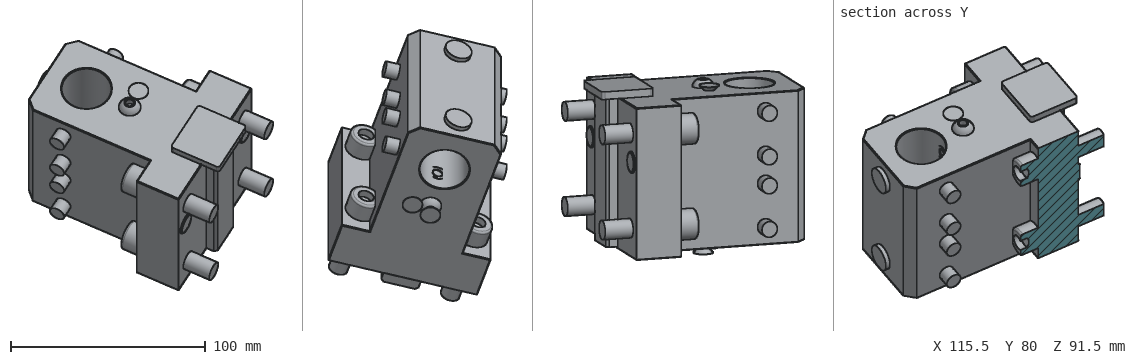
import cadquery as cq


HEIGHT = 80.0
LENGTH = 98.0
BODY_WIDTH = 50.1
FLANGE_WIDTH = 80.0
FLANGE_THICKNESS = 24.6
NOSE_CHAMFER = 5.1
EDGE_CHAMFER = 0.5
FLANGE_CORNER_CHAMFER = 0.3
MID_HEIGHT = HEIGHT / 2
FLANGE_X = LENGTH - FLANGE_THICKNESS

BORE_X = 23.0
BORE_DIAMETER = 25.4
SIDE_PIN_DIAMETER = 8.3
SIDE_PIN_PROJECTION = 7.2
SIDE_PIN_OFFSETS = (7.6, 30.5)
NOSE_DISC_DIAMETER = 14.0
NOSE_DISC_PROJECTION = 2.4
NOSE_DISC_OFFSET = 28.0
WALL_SCREW_DIAMETER = 9.2
WALL_SCREW_PROTRUSION = 0.2
WALL_SOCKET_DIAMETER = 5.3
WALL_SOCKET_DEPTH = 0.6
WALL_SOCKET_TIP_DEPTH = 1.2

BOLT_Y = 30.0
BOLT_OFFSET = 25.1
BOLT_HEAD_DIAMETER = 16.0
BOLT_HEAD_HEIGHT = 10.4
BOLT_HEAD_FILLET = 1.2
BOLT_SHANK_DIAMETER = 10.0
BOLT_PROJECTION = 15.1
SOCKET_DIAMETER = 8.1
SOCKET_DEPTH = 4.0
SOCKET_TIP_DEPTH = 2.3

SEAL_Y = 32.6
SEAL_Z = 50.1
SEAL_DIAMETER = 11.3
SEAL_PROJECTION = 0.8
SEAL_CHAMFER = 0.6

KEY_WIDTH = 20.0
KEY_PROJECTION = 6.0
KEY_HEIGHT = 78.0
KEY_CHAMFER = 1.5

PLATE_X = 80.0
PLATE_LENGTH = 28.1
PLATE_WIDTH = 30.0
PLATE_THICKNESS = 4.0
PLATE_CORNER_RADIUS = 1.5

NOZZLE_X = 48.2
BALL_RADIUS = 5.9
BALL_SINK = 1.5
BALL_PROJECTION = 3.7
NOZZLE_HOLE_DIAMETER = 4.2
NOZZLE_HOLE_DEPTH = 4.6
NECK_DIAMETER = 5.4
NECK_END = 5.0
PLUG_Y = 9.6
FLARE_DIAMETER = 10.3
FLARE_HEIGHT = 2.5
FLARE_RIM = 0.2


def rod_x(diameter, start_x, end_x, y, z):
    """Cylinder along X."""
    return cq.Workplane("YZ", origin=(start_x, y, z)).circle(diameter / 2).extrude(end_x - start_x)


def flare(root_z, y, direction):
    """Cone widening away from root_z, ending in a thin rim; direction is +1 for up, -1 for down."""
    rim_z = root_z + direction * (FLARE_HEIGHT - FLARE_RIM)
    end_z = root_z + direction * FLARE_HEIGHT
    return (
        cq.Workplane("XZ")
        .moveTo(0, root_z)
        .lineTo(NECK_DIAMETER / 2, root_z)
        .lineTo(FLARE_DIAMETER / 2, rim_z)
        .lineTo(FLARE_DIAMETER / 2, end_z)
        .lineTo(0, end_z)
        .close()
        .revolve(360, (0, 0, 0), (0, 1, 0))
        .translate((NOZZLE_X, y, 0))
    )


def block():
    """T-shaped block with chamfered nose corners, chamfered edges and the through bore."""
    body = (
        cq.Workplane("XY")
        .box(LENGTH, BODY_WIDTH, HEIGHT, centered=(False, True, False))
        .edges("|Z and <X")
        .chamfer(NOSE_CHAMFER)
    )
    flange = (
        cq.Workplane("XY", origin=(FLANGE_X, 0, 0))
        .box(FLANGE_THICKNESS, FLANGE_WIDTH, HEIGHT, centered=(False, True, False))
        .edges("|Z")
        .chamfer(FLANGE_CORNER_CHAMFER)
    )
    bore = cq.Workplane("XY", origin=(BORE_X, 0, 0)).circle(BORE_DIAMETER / 2).extrude(HEIGHT)
    return body.union(flange).cut(bore).faces("<Z or >Z").chamfer(EDGE_CHAMFER)


def bolt(y, z):
    """Socket head bolt passing through the flange along X."""
    head_x = FLANGE_X - BOLT_HEAD_HEIGHT
    head = rod_x(BOLT_HEAD_DIAMETER, head_x, FLANGE_X, y, z).faces("<X").edges().fillet(BOLT_HEAD_FILLET)
    shank = rod_x(BOLT_SHANK_DIAMETER, FLANGE_X, LENGTH + BOLT_PROJECTION, y, z)
    return head.union(shank)


def drilled_socket(diameter, depth, tip_depth, x, y, z):
    """Drilled hole along +X with its mouth at x: a cylinder of the given depth ending in a cone."""
    radius = diameter / 2
    return (
        cq.Workplane("XY")
        .lineTo(depth + tip_depth, 0)
        .lineTo(depth, radius)
        .lineTo(0, radius)
        .close()
        .revolve(360, (0, 0, 0), (1, 0, 0))
        .translate((x, y, z))
    )


def ball(centre_z, top_z, bottom_z):
    """Nozzle ball cut flat at top_z and bottom_z."""
    slab = cq.Workplane("XY", origin=(NOZZLE_X, 0, bottom_z)).circle(2 * BALL_RADIUS)
    return (
        cq.Workplane("XY", origin=(NOZZLE_X, 0, centre_z))
        .sphere(BALL_RADIUS)
        .intersect(slab.extrude(top_z - bottom_z))
    )


def top_nozzle():
    """Ball standing out of the top face, with a blind hole in its flat."""
    top_z = HEIGHT + BALL_PROJECTION
    dome = ball(HEIGHT - BALL_SINK, top_z, HEIGHT - BALL_SINK)
    hole_start = cq.Workplane("XY", origin=(NOZZLE_X, 0, top_z))
    return dome.cut(hole_start.circle(NOZZLE_HOLE_DIAMETER / 2).extrude(-NOZZLE_HOLE_DEPTH))


def bottom_nozzle():
    """Ball standing out of the underside, closed by a necked, flared plug."""
    neck = cq.Workplane("XY", origin=(NOZZLE_X, 0, -NECK_END)).circle(NECK_DIAMETER / 2).extrude(NECK_END)
    dome = ball(BALL_SINK, BALL_SINK, -BALL_PROJECTION)
    return dome.union(neck).union(flare(-NECK_END, 0, -1))


def side_pin(side, z):
    """Clamping screw end on one side of the body, level with the bore axis; side is +1 for +Y."""
    return (
        cq.Workplane("XZ", origin=(BORE_X, side * BODY_WIDTH / 2, z))
        .circle(SIDE_PIN_DIAMETER / 2)
        .extrude(-side * SIDE_PIN_PROJECTION)
    )


def key():
    """Key along Z on the mounting face, with its long outer edges chamfered."""
    return (
        cq.Workplane("XY", origin=(LENGTH, 0, (HEIGHT - KEY_HEIGHT) / 2))
        .box(KEY_PROJECTION, KEY_WIDTH, KEY_HEIGHT, centered=(False, True, False))
        .edges("|Z and >X")
        .chamfer(KEY_CHAMFER)
    )


def plate():
    """Round-cornered plate on the top face, overhanging the mounting face."""
    return (
        cq.Workplane("XY", origin=(PLATE_X, 0, HEIGHT))
        .box(PLATE_LENGTH, PLATE_WIDTH, PLATE_THICKNESS, centered=(False, True, False))
        .edges("|Z")
        .fillet(PLATE_CORNER_RADIUS)
    )


result = block().union(key()).union(plate())

wall_x = BORE_X + BORE_DIAMETER / 2
screw_end_x = wall_x - WALL_SCREW_PROTRUSION
bolt_head_x = FLANGE_X - BOLT_HEAD_HEIGHT

for level in (-1, 1):
    disc_z = MID_HEIGHT + level * NOSE_DISC_OFFSET
    result = result.union(rod_x(NOSE_DISC_DIAMETER, -NOSE_DISC_PROJECTION, 0, 0, disc_z))
    result = result.union(rod_x(WALL_SCREW_DIAMETER, screw_end_x, FLANGE_X, 0, disc_z))
    result = result.cut(
        drilled_socket(
            WALL_SOCKET_DIAMETER, WALL_SOCKET_DEPTH, WALL_SOCKET_TIP_DEPTH, screw_end_x, 0, disc_z
        )
    )

for side in (-1, 1):
    seal = rod_x(SEAL_DIAMETER, LENGTH, LENGTH + SEAL_PROJECTION, side * SEAL_Y, SEAL_Z)
    result = result.union(seal.faces(">X").chamfer(SEAL_CHAMFER))

    for level in (-1, 1):
        for pin_offset in SIDE_PIN_OFFSETS:
            result = result.union(side_pin(side, MID_HEIGHT + level * pin_offset))

        bolt_y = side * BOLT_Y
        bolt_z = MID_HEIGHT + level * BOLT_OFFSET
        result = result.union(bolt(bolt_y, bolt_z))
        result = result.cut(
            drilled_socket(SOCKET_DIAMETER, SOCKET_DEPTH, SOCKET_TIP_DEPTH, bolt_head_x, bolt_y, bolt_z)
        )

result = result.union(top_nozzle()).union(bottom_nozzle())
for face_z, direction in ((HEIGHT, 1), (0, -1)):
    result = result.union(flare(face_z, PLUG_Y, direction))